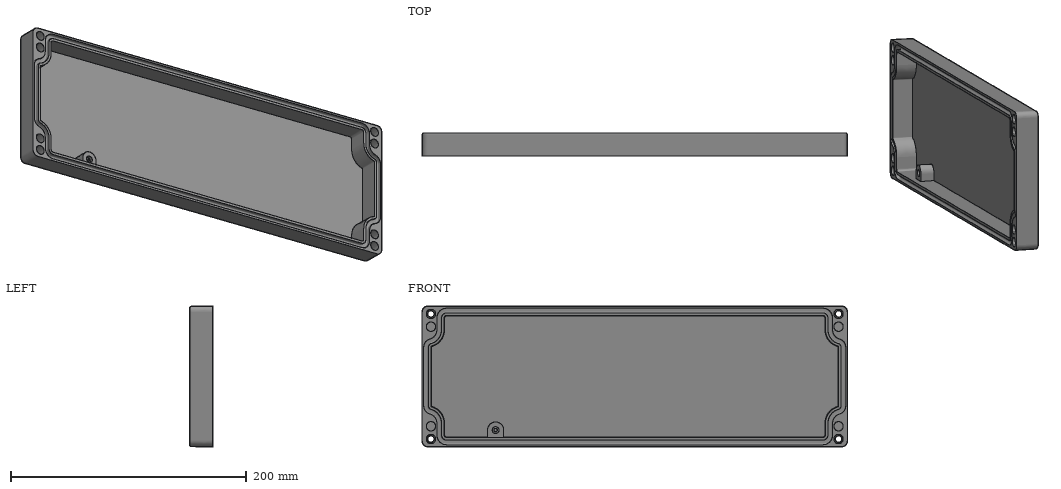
import cadquery as cq
import math

length = 361.5
depth = 20.0
height = 119.5
corner_radius = 5.0
outer_draft = 0.5
back_edge_radius = 1.8

end_rim = 7.5
side_rim = 8.0
floor_thickness = 2.5
cavity_lean = 0.5
cavity_corner_radius = 2.0

pillar_length = 18.8
pillar_radius = 14.5
pillar_arc_z = 39.8
pillar_foot_radius = 1.0

groove_inner_offset = 2.0
groove_outer_offset = 6.0
groove_depth = 3.5
groove_floor_radius = 1.0

hole_x = 173.0
screw_z = 53.0
blind_z = 42.3
bore_diameter = 8.0
bore_depth = 11.0
screw_diameter = 5.5

boss_x = -118.2
boss_z = -45.5
boss_radius = 7.0
boss_height = 11.5
boss_hole_diameter = 3.0
boss_hole_depth = 7.2
boss_bore_diameter = 5.8
boss_bore_depth = 3.0

floor_y = depth - floor_thickness


def plane_at(y):
    """Workplane at depth y, with local x = X, local y = Z and its normal along -Y."""
    return cq.Workplane("XZ", origin=(0, y, 0))


def cylinder(x, z, diameter, start_y, run):
    """Round bar along Y, reaching from start_y toward +Y."""
    return plane_at(start_y).center(x, z).circle(diameter / 2).extrude(-run)


def cavity_outline(offset, y):
    """Wire at depth y: the cavity mouth with its pillar steps, grown outward by an offset."""
    end_x = length / 2 - end_rim
    side_z = height / 2 - side_rim
    pillar_x = length / 2 - pillar_length
    corner_x = pillar_x - cavity_corner_radius
    corner_z = side_z - cavity_corner_radius

    foot_x = end_x - pillar_foot_radius
    arc_x = pillar_x + pillar_radius
    tangent_angle = math.acos((arc_x - foot_x) / (pillar_radius + pillar_foot_radius))
    foot_z = pillar_arc_z - (pillar_radius + pillar_foot_radius) * math.sin(tangent_angle)

    edges = []
    for x_sign in (1, -1):
        for z_sign in (1, -1):

            def at(x, z):
                return cq.Vector(x_sign * x, y, z_sign * z)

            def arc(x, z, radius, start, end):
                angles = (start, (start + end) / 2, end)
                points = [at(x + radius * math.cos(a), z + radius * math.sin(a)) for a in angles]
                return cq.Edge.makeThreePointArc(*points)

            edges += [
                cq.Edge.makeLine(at(end_x + offset, 0), at(end_x + offset, foot_z)),
                arc(foot_x, foot_z, pillar_foot_radius + offset, 0, tangent_angle),
                arc(arc_x, pillar_arc_z, pillar_radius - offset, math.pi + tangent_angle, math.pi),
                cq.Edge.makeLine(at(pillar_x + offset, pillar_arc_z), at(pillar_x + offset, corner_z)),
                arc(corner_x, corner_z, cavity_corner_radius + offset, 0, math.pi / 2),
                cq.Edge.makeLine(at(corner_x, side_z + offset), at(0, side_z + offset)),
            ]
    return cq.Wire.assembleEdges(edges)


def cavity_prism(front_offset, back_offset, run):
    """Solid from the rim inward whose outline changes evenly from one offset to the other."""
    wires = [cavity_outline(front_offset, 0), cavity_outline(back_offset, run)]
    return cq.Workplane(cq.Solid.makeLoft(wires, True)).clean()


def make_body():
    """Drafted block with rounded corners and a rounded back edge."""
    outline = cq.Sketch().rect(length, height).vertices().fillet(corner_radius)
    body = plane_at(0).placeSketch(outline).extrude(-depth, taper=outer_draft)
    return body.faces(">Y").edges().fillet(back_edge_radius)


def make_groove():
    """Straight-walled ring cutter, rounded along both sides of the groove floor."""
    outer = cavity_prism(groove_outer_offset, groove_outer_offset, groove_depth)
    inner = cavity_prism(groove_inner_offset, groove_inner_offset, groove_depth)
    return outer.cut(inner).faces(">Y").edges().fillet(groove_floor_radius)


def make_boss():
    """Round-topped boss joined to the lower wall, with a counterbored blind hole."""
    wall_z = -height / 2 + side_rim
    boss_y = floor_y - boss_height
    foot_height = boss_z - wall_z
    foot = (
        plane_at(boss_y)
        .center(boss_x, wall_z + foot_height / 2)
        .rect(2 * boss_radius, foot_height)
        .extrude(-boss_height)
    )
    boss = cylinder(boss_x, boss_z, 2 * boss_radius, boss_y, boss_height).union(foot)
    boss = boss.cut(cylinder(boss_x, boss_z, boss_bore_diameter, boss_y, boss_bore_depth))
    return boss.cut(cylinder(boss_x, boss_z, boss_hole_diameter, boss_y, boss_hole_depth))


def make_pillar_holes():
    """Cutter for a counterbored through hole and a blind hole in each corner pillar."""
    holes = cq.Workplane()
    for x in (-hole_x, hole_x):
        for z_sign in (-1, 1):
            holes = holes.add(cylinder(x, z_sign * screw_z, bore_diameter, 0, bore_depth))
            holes = holes.add(cylinder(x, z_sign * screw_z, screw_diameter, 0, depth))
            holes = holes.add(cylinder(x, z_sign * blind_z, bore_diameter, 0, bore_depth))
    return holes.combine()


cavity = cavity_prism(0, -cavity_lean, floor_y)
tray = make_body().cut(cavity).cut(make_groove())
result = tray.union(make_boss()).cut(make_pillar_holes())